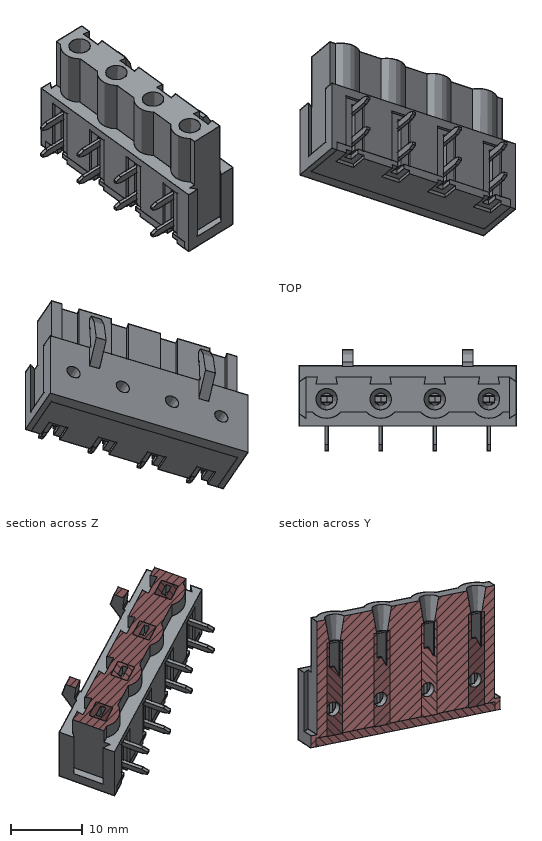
import cadquery as cq

POLES = 4
PITCH = 7.6
pole_xs = [(i - (POLES - 1) / 2) * PITCH for i in range(POLES)]

BASE_LENGTH = 30.58
BASE_DEPTH = 8.5
BASE_HEIGHT = 10.75
TOTAL_HEIGHT = 19.0
END_SLOT_DEPTH = 0.95
PLUG_LENGTH = BASE_LENGTH - 2 * END_SLOT_DEPTH
PLUG_FRONT = 2.02
PLUG_BACK = 6.88
plug_height = TOTAL_HEIGHT - BASE_HEIGHT

ENTRY_Y = 3.8
BULGE_RADIUS = 2.7
ENTRY_TOP_DIAMETER = 3.0
ENTRY_BOTTOM_DIAMETER = 1.68
ENTRY_DEPTH = 3.67
bulge_front = ENTRY_Y - BULGE_RADIUS

GROOVE_MOUTH = 2.63
GROOVE_ROOT = 3.0
GROOVE_DEPTH = 0.98

END_SLOT_FLARE = 0.65
END_SLOT_FLOOR = 1.87

LATCH_X = 8.45
LATCH_WIDTH = 1.53
LATCH_FOOT_Z = 7.35
LATCH_HEEL_Z = 10.85
LATCH_REACH = 2.25
LATCH_TOP = 16.2
LATCH_NOSE_BOTTOM = 14.37
LATCH_NOSE_OVERHANG = 0.12
LATCH_SHOULDER = 1.53
LATCH_TIP = 0.55
LATCH_NECK_TOP = 0.05
LATCH_NECK_BOTTOM = 0.35
LATCH_ROOT_RELIEF = 0.15

COVER_LENGTH = 28.8
COVER_HEIGHT = 1.28
COVER_SLOT_WIDTH = 1.0
COVER_SLOT_DEPTH = 1.85
COVER_NOTCH_WIDTH = 2.87
COVER_NOTCH_HEIGHT = 0.55
COVER_NOTCH_DEPTH = 2.75

RECESS_WIDTH = 3.0
RECESS_DEPTH = 0.43
RECESS_TOP = 9.45
SLIT_TOP = 8.62
WINDOW_DIAMETER = 2.02
WINDOW_OFFSET = 0.28

LEAD_THICKNESS = 0.5
LEAD_HEIGHT = 1.07
LEAD_LENGTH = 3.5
LEAD_POINT_LENGTH = 0.9
LEAD_POINT_HEIGHT = 0.4
LEAD_ZS = (2.72, 7.77)
window_z = sum(LEAD_ZS) / 2
SOCKET_WIDTH = 2.45
SOCKET_DEPTH = 2.45
SOCKET_OPENING_WIDTH = 1.6
SOCKET_OPENING_DEPTH = 0.73
SOCKET_FLOOR = 11.62
SOCKET_FLOOR_EDGE = 0.05
SOCKET_FLOOR_DROP = 1.53
SOCKET_LEAD_IN = 0.15
socket_top = TOTAL_HEIGHT - ENTRY_DEPTH
socket_front = ENTRY_Y - SOCKET_DEPTH / 2


def block(x, y_min, y_max, z_min, z_max, width):
    """A box centred on x, between the given Y and Z limits."""
    return (
        cq.Workplane("XY")
        .box(width, y_max - y_min, z_max - z_min, centered=(True, False, False))
        .translate((x, y_min, z_min))
    )


def profile_plate(x, width, points):
    """A plate of the given width, centred on x, from a (Y, Z) outline."""
    return cq.Workplane("YZ", origin=(x, 0, 0)).polyline(points).close().extrude(width / 2, both=True)


def cover_space():
    return block(0, 0, PLUG_BACK, 0, COVER_HEIGHT, COVER_LENGTH)


def window(x, y_min):
    """The round opening that runs along Y from y_min through the back of the base."""
    return (
        cq.Workplane("XZ", origin=(x + WINDOW_OFFSET, y_min, window_z))
        .circle(WINDOW_DIAMETER / 2)
        .extrude(y_min - BASE_DEPTH)
    )


def dovetail_groove(x):
    return (
        cq.Workplane("XY", origin=(x, PLUG_BACK, BASE_HEIGHT))
        .polyline(
            [
                (-GROOVE_MOUTH / 2, 0),
                (-GROOVE_ROOT / 2, -GROOVE_DEPTH),
                (GROOVE_ROOT / 2, -GROOVE_DEPTH),
                (GROOVE_MOUTH / 2, 0),
            ]
        )
        .close()
        .extrude(plug_height)
    )


def end_slot(side):
    outer_x = side * BASE_LENGTH / 2
    inner_x = side * PLUG_LENGTH / 2
    return (
        cq.Workplane("XY", origin=(0, 0, END_SLOT_FLOOR))
        .polyline(
            [
                (inner_x, bulge_front),
                (outer_x, bulge_front + END_SLOT_FLARE),
                (outer_x, PLUG_BACK - END_SLOT_FLARE),
                (inner_x, PLUG_BACK),
            ]
        )
        .close()
        .extrude(BASE_HEIGHT - END_SLOT_FLOOR)
    )


def latch(x):
    back = BASE_DEPTH
    return profile_plate(
        x,
        LATCH_WIDTH,
        [
            (back, LATCH_FOOT_Z),
            (back + LATCH_REACH, LATCH_HEEL_Z),
            (back + LATCH_SHOULDER, LATCH_NOSE_BOTTOM),
            (back + LATCH_TIP, LATCH_TOP),
            (back - LATCH_NOSE_OVERHANG, LATCH_TOP),
            (back - LATCH_NOSE_OVERHANG, LATCH_NOSE_BOTTOM),
            (back + LATCH_NECK_TOP, LATCH_NOSE_BOTTOM),
            (back + LATCH_NECK_BOTTOM, BASE_HEIGHT + LATCH_ROOT_RELIEF),
            (back + LATCH_NECK_BOTTOM - LATCH_ROOT_RELIEF, BASE_HEIGHT),
            (back, BASE_HEIGHT),
        ],
    )


def entry_hole(x):
    cone = cq.Solid.makeCone(
        ENTRY_BOTTOM_DIAMETER / 2,
        ENTRY_TOP_DIAMETER / 2,
        ENTRY_DEPTH,
        pnt=cq.Vector(x, ENTRY_Y, TOTAL_HEIGHT - ENTRY_DEPTH),
    )
    return cq.Workplane(cone)


def make_housing():
    housing = block(0, 0, BASE_DEPTH, 0, BASE_HEIGHT, BASE_LENGTH)
    housing = housing.union(block(0, PLUG_FRONT, PLUG_BACK, BASE_HEIGHT, TOTAL_HEIGHT, PLUG_LENGTH))
    for x in pole_xs:
        bulge = cq.Workplane("XY", origin=(x, ENTRY_Y, BASE_HEIGHT)).circle(BULGE_RADIUS).extrude(plug_height)
        housing = housing.union(bulge)
    for x in pole_xs:
        housing = housing.cut(dovetail_groove(x)).cut(entry_hole(x))
        housing = housing.cut(block(x, 0, RECESS_DEPTH, 0, RECESS_TOP, RECESS_WIDTH))
        housing = housing.cut(block(x, 0, ENTRY_Y, 0, SLIT_TOP, LEAD_THICKNESS))
        housing = housing.cut(
            block(x, socket_front, socket_front + SOCKET_DEPTH, 0, socket_top, SOCKET_WIDTH)
        )
        housing = housing.cut(window(x, ENTRY_Y))
    for side in (-1, 1):
        housing = housing.cut(end_slot(side)).union(latch(side * LATCH_X))
    return housing.cut(cover_space())


def make_cover():
    cover = cover_space()
    for x in pole_xs:
        cover = cover.cut(block(x, 0, COVER_SLOT_DEPTH, 0, COVER_HEIGHT, COVER_SLOT_WIDTH))
        cover = cover.cut(block(x, 0, COVER_NOTCH_DEPTH, 0, COVER_NOTCH_HEIGHT, COVER_NOTCH_WIDTH))
    return cover


def lead(x, z):
    shoulder_y = LEAD_POINT_LENGTH - LEAD_LENGTH
    return profile_plate(
        x,
        LEAD_THICKNESS,
        [
            (socket_front, z - LEAD_HEIGHT / 2),
            (socket_front, z + LEAD_HEIGHT / 2),
            (shoulder_y, z + LEAD_HEIGHT / 2),
            (-LEAD_LENGTH, z + LEAD_POINT_HEIGHT / 2),
            (-LEAD_LENGTH, z - LEAD_POINT_HEIGHT / 2),
            (shoulder_y, z - LEAD_HEIGHT / 2),
        ],
    )


def socket_opening(x):
    """A slot with a floor that is part level, part sloped, and with a lead-in on its two long edges."""
    half_width = SOCKET_OPENING_WIDTH / 2
    slot = (
        cq.Workplane("XZ", origin=(x, ENTRY_Y, 0))
        .polyline(
            [
                (-half_width, socket_top),
                (-half_width, SOCKET_FLOOR - SOCKET_FLOOR_DROP),
                (SOCKET_FLOOR_EDGE, SOCKET_FLOOR),
                (half_width, SOCKET_FLOOR),
                (half_width, socket_top),
            ]
        )
        .close()
        .extrude(SOCKET_OPENING_DEPTH / 2, both=True)
    )
    half_depth = SOCKET_OPENING_DEPTH / 2
    lead_in = profile_plate(
        x,
        SOCKET_OPENING_WIDTH,
        [
            (ENTRY_Y - half_depth - SOCKET_LEAD_IN, socket_top),
            (ENTRY_Y + half_depth + SOCKET_LEAD_IN, socket_top),
            (ENTRY_Y + half_depth, socket_top - SOCKET_LEAD_IN),
            (ENTRY_Y - half_depth, socket_top - SOCKET_LEAD_IN),
        ],
    )
    return slot.union(lead_in)


def make_contact(x):
    contact = block(x, socket_front, socket_front + SOCKET_DEPTH, COVER_HEIGHT, socket_top, SOCKET_WIDTH)
    contact = contact.cut(socket_opening(x))
    contact = contact.cut(window(x, socket_front))
    for z in LEAD_ZS:
        contact = contact.union(lead(x, z))
    return contact


housing = make_housing()
cover = make_cover()
contacts = [make_contact(x) for x in pole_xs]

result = cq.Compound.makeCompound([housing.val(), cover.val(), *[contact.val() for contact in contacts]])